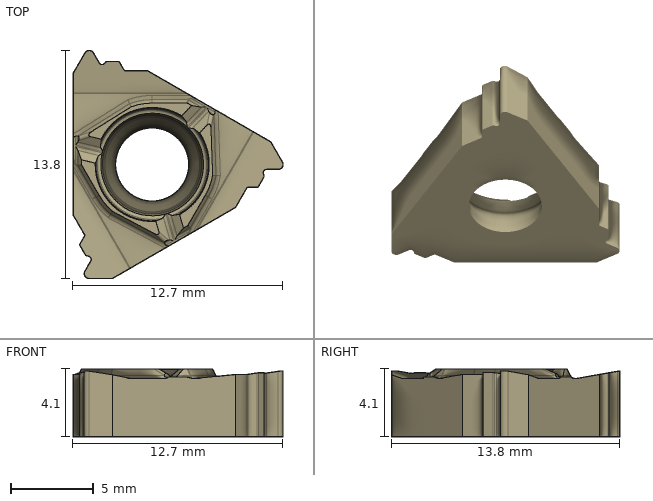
import cadquery as cq
import math

TIP_COUNT = 3
TIP_STEP = 360 / TIP_COUNT

top_height = 4.1
floor_height = 3.53
inscribed_radius = 4.76
reach = 11

flank_slope = math.tan(math.radians(60))
tip_apex_x = -3.8
tip_apex_y = 7.18
tip_radius = 0.3
relief_rise_offset = 8.96
crest_y = 6.22
crest_end_x = -2.0
shoulder_y = 5.65
valley_radius = 0.19
crest_radius = 0.11
shoulder_radius = 0.08

tip_face_angle = 10
fold_distance = 4.29
fold_radius = 0.25

wall_angle = 27
cone_foot_radius = 3.99
cone_sweep = TIP_STEP - 90
facet_foot_distance = 3.9
facet_angle = 122
foot_fillet = 0.29

ledge_height = 3.6
edge_wall_top_distance = 4.26
ledge_fillet = 0.18

groove_angle = 46.2
groove_half_width = 0.74
groove_wall_slope = 40
groove_root_fillet = 0.32

facet_edge_fillet = 0.19
facet_edge_place = (4.43, 37.4, 3.97)
ledge_corner_fillet = 0.11
ledge_corner_place = (4.36, 60.5, 3.89)

mouth_radius = 3.44
mouth_chamfer = 0.04
ring_wall_radius = 3.31
ring_wall_bottom = 3.78
ring_inner_radius = 3.1
socket_bottom_radius = 3.0
socket_bottom = 2.67
seat_top_radius = 2.86
seat_top = 2.32
seat_bottom = 0.28
hole_radius = 2.2


def polar(radius, angle):
    """Point at a radius and an angle in degrees."""
    return (radius * math.cos(math.radians(angle)), radius * math.sin(math.radians(angle)))


def rotated(point, angle):
    """Point turned about the origin by an angle in degrees."""
    radius = math.hypot(*point)
    return polar(radius, math.degrees(math.atan2(point[1], point[0])) + angle)


def around_axis(shape):
    """The shape repeated once for each tip."""
    copies = shape
    for index in range(1, TIP_COUNT):
        copies = copies.union(shape.rotate((0, 0, 0), (0, 0, 1), index * TIP_STEP))
    return copies


def corner_points(before, corner, after, radius):
    """Start, middle and end of an arc that rounds the corner between two straight lines."""
    start_angle = math.atan2(before[1] - corner[1], before[0] - corner[0])
    end_angle = math.atan2(after[1] - corner[1], after[0] - corner[0])
    half = math.acos(math.cos(start_angle - end_angle)) / 2
    bisector = math.atan2(
        math.sin(start_angle) + math.sin(end_angle), math.cos(start_angle) + math.cos(end_angle)
    )
    tangent_length = radius / math.tan(half)
    middle_length = radius / math.sin(half) - radius
    steps = (
        (start_angle, tangent_length),
        (bisector, middle_length),
        (end_angle, tangent_length),
    )
    return [
        (corner[0] + length * math.cos(angle), corner[1] + length * math.sin(angle))
        for angle, length in steps
    ]


def rounded_polygon(plane, corners):
    """Closed outline through (point, radius) corners; a zero radius keeps the corner sharp."""
    sketch = cq.Workplane(plane)
    started = False
    for index, (corner, radius) in enumerate(corners):
        points = [corner]
        if radius:
            before = corners[index - 1][0]
            after = corners[(index + 1) % len(corners)][0]
            points = corner_points(before, corner, after, radius)
        sketch = sketch.lineTo(*points[0]) if started else sketch.moveTo(*points[0])
        started = True
        if radius:
            sketch = sketch.threePointArc(points[1], points[2])
    return sketch.close()


def tip_corners():
    """Corners of the tip pointing along +Y, from the left side to the right side."""
    flank_foot_y = tip_apex_y - flank_slope * (tip_apex_x + inscribed_radius)
    valley_x = (tip_apex_y + flank_slope * tip_apex_x - relief_rise_offset) / (1 + flank_slope)
    shoulder_x = crest_end_x + (crest_y - shoulder_y) / flank_slope
    shoulder_end_x = flank_slope * (inscribed_radius / math.cos(math.radians(30)) - shoulder_y)
    return [
        ((-inscribed_radius, flank_foot_y), 0),
        ((tip_apex_x, tip_apex_y), tip_radius),
        ((valley_x, valley_x + relief_rise_offset), valley_radius),
        ((crest_y - relief_rise_offset, crest_y), crest_radius),
        ((crest_end_x, crest_y), crest_radius),
        ((shoulder_x, shoulder_y), shoulder_radius),
        ((shoulder_end_x, shoulder_y), 0),
    ]


def insert_outline():
    """Full-height prism with the outer shape of the insert."""
    corners = [
        (rotated(point, -index * TIP_STEP), radius)
        for index in range(TIP_COUNT)
        for point, radius in tip_corners()
    ]
    return rounded_polygon("XY", corners).extrude(top_height)


def tip_slopes():
    """Wedges that raise the top face toward each tip, blended into the floor."""
    rise = (reach - fold_distance) * math.tan(math.radians(tip_face_angle))
    corners = [
        ((0, 0), 0),
        ((0, floor_height), 0),
        ((fold_distance, floor_height), fold_radius),
        ((reach, floor_height + rise), 0),
        ((reach, 0), 0),
    ]
    return around_axis(rounded_polygon("YZ", corners).extrude(reach, both=True))


def flared_profile(plane, foot_distance):
    """Half section of floor and plateau; the drafted wall is filleted into the floor."""
    lean = (top_height - floor_height) * math.tan(math.radians(wall_angle))
    corners = [
        ((0, 0), 0),
        ((0, top_height), 0),
        ((foot_distance - lean, top_height), 0),
        ((foot_distance, floor_height), foot_fillet),
        ((reach, floor_height), 0),
        ((reach, 0), 0),
    ]
    return rounded_polygon(plane, corners)


def plateau_on_floor():
    """Floor slab with its plateau: per tip a straight wall, a cone and a flat facet."""
    wall = flared_profile("YZ", cone_foot_radius).extrude(reach)
    cone = flared_profile("YZ", cone_foot_radius).revolve(cone_sweep, (0, 0, 0), (0, 1, 0))
    blank = around_axis(wall.union(cone))
    facet = flared_profile("XZ", facet_foot_distance).extrude(reach, both=True)
    back = cq.Workplane("XY").box(reach, 2 * reach, top_height, centered=(False, True, False))
    facet = facet.union(back.translate((-reach, 0, 0)))
    for index in range(TIP_COUNT):
        blank = blank.intersect(facet.rotate((0, 0, 0), (0, 0, 1), facet_angle + index * TIP_STEP))
    return blank


def ledge_cutters():
    """Tools that trim the plateau parallel to the long sides and leave a low ledge."""
    lean = (top_height - ledge_height) * math.tan(math.radians(wall_angle))
    corners = [
        ((-edge_wall_top_distance, top_height), 0),
        ((-edge_wall_top_distance - lean, ledge_height), ledge_fillet),
        ((-reach, ledge_height), 0),
        ((-reach, top_height), 0),
    ]
    return around_axis(rounded_polygon("XZ", corners).extrude(reach, both=True))


def groove_cutters():
    """Radial V tools with sloping walls, a narrow flat floor and filleted roots."""
    wall_width = (top_height - ledge_height) / math.tan(math.radians(groove_wall_slope))
    root_half_width = groove_half_width - wall_width
    corners = [
        ((-groove_half_width, top_height), 0),
        ((-root_half_width, ledge_height), groove_root_fillet),
        ((root_half_width, ledge_height), groove_root_fillet),
        ((groove_half_width, top_height), 0),
    ]
    groove = rounded_polygon("YZ", corners).extrude(reach)
    return around_axis(groove.rotate((0, 0, 0), (0, 0, 1), groove_angle))


def hole_cutter():
    """Revolved tool: flared mouth, ring ledge, tapered socket, rounded seat and bore."""
    return (
        cq.Workplane("XZ")
        .moveTo(0, top_height)
        .lineTo(mouth_radius, top_height)
        .lineTo(mouth_radius - mouth_chamfer, top_height - mouth_chamfer)
        .lineTo(ring_wall_radius, ring_wall_bottom)
        .tangentArcPoint((ring_inner_radius, ledge_height), relative=False)
        .lineTo(socket_bottom_radius, socket_bottom)
        .tangentArcPoint((seat_top_radius, seat_top), relative=False)
        .tangentArcPoint((hole_radius, seat_bottom), relative=False)
        .lineTo(hole_radius, 0)
        .lineTo(0, 0)
        .close()
        .revolve(360, (0, 0, 0), (0, 1, 0))
    )


def blended(body, place, fillet_radius):
    """Fillet the straight edge nearest to a cylindrical place, repeated for each tip."""
    radius, angle, height = place
    edges = []
    for index in range(TIP_COUNT):
        point = (*polar(radius, angle + index * TIP_STEP), height)
        nearest = body.edges("%LINE").edges(cq.selectors.NearestToPointSelector(point))
        edges.append(nearest.val())
    return cq.Workplane(body.val().fillet(fillet_radius, edges))


chip_breaker = plateau_on_floor().cut(ledge_cutters()).cut(groove_cutters())
chip_breaker = blended(chip_breaker, facet_edge_place, facet_edge_fillet)
chip_breaker = blended(chip_breaker, ledge_corner_place, ledge_corner_fillet)
result = chip_breaker.union(tip_slopes()).intersect(insert_outline()).cut(hole_cutter())